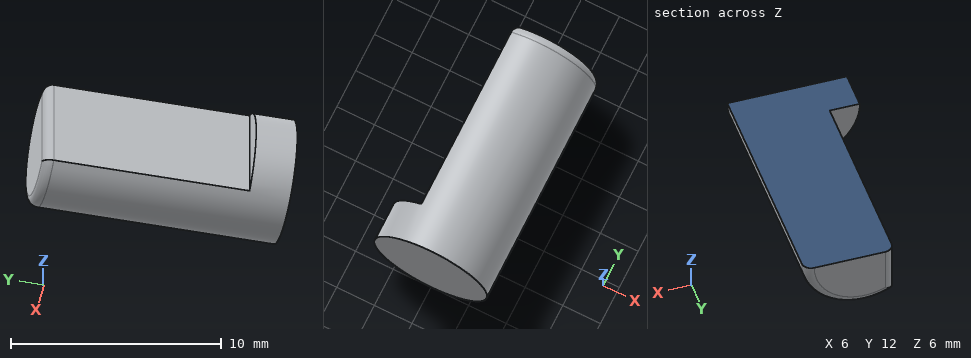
import cadquery as cq

length = 12.0
diameter = length / 2
radius = diameter / 2
head_length = length / 6
flat_offset = radius / 2
end_fillet = 0.48

pin = cq.Workplane("XZ").circle(radius).extrude(-length)

flat_cut = cq.Workplane("XY").box(
    radius, length, diameter, centered=(False, False, True)
).translate((-flat_offset - radius, head_length, 0))
pin = pin.cut(flat_cut)

result = pin.faces(">Y").edges().fillet(end_fillet)